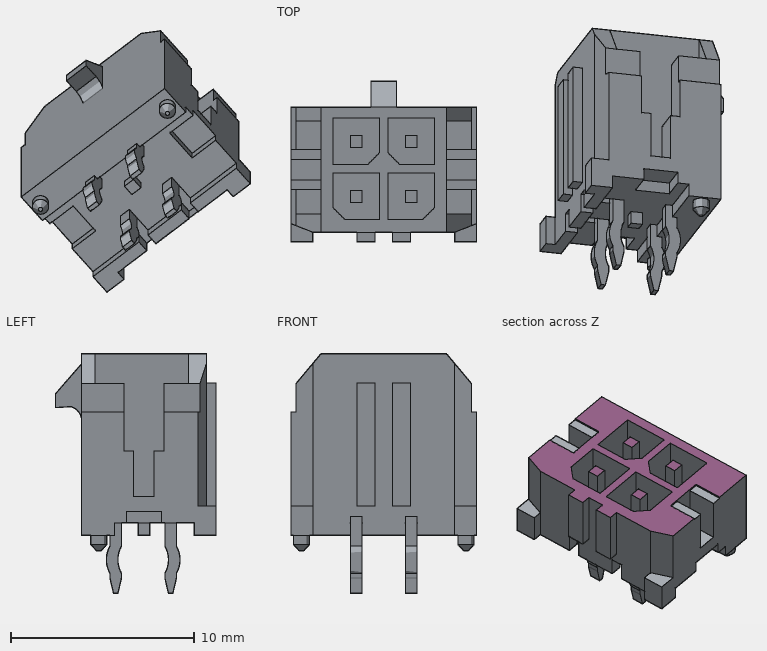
import cadquery as cq

core_side = 6.83
core_half = core_side / 2
core_height = 9.92
overall_height = 13.09
overall_width = 10.15
half_width = overall_width / 2

shoulder_setback = 0.27
shoulder_half = half_width - shoulder_setback
shoulder_z = 6.74
wing_top_z = 8.27
rear_gusset_length = 0.76
front_gusset_length = 1.0
wide_slot_width = 2.19
wide_slot_floor_z = 4.6
narrow_slot_width = 1.11
narrow_slot_floor_z = 2.11

front_projection = 0.52
front_y = -core_half - front_projection
bevel_inner_x = 3.86
bevel_depth = 0.47
foot_height = 1.61

rib_width = 1.01
rib_center_x = 0.97
rib_top_z = 8.33

latch_width = 1.4
latch_projection = 1.41
latch_top_z = 9.35
latch_tip_top_z = 7.72
latch_tip_bottom_z = 6.96
latch_root_z = 7.02
latch_root_reach = 0.56
latch_root_drop = 0.62
latch_root_radius = 0.79

pitch = 3.0
row_center_y = 0.04
contact_x = [-pitch / 2, pitch / 2]
front_row_y = row_center_y - pitch / 2
rear_row_y = row_center_y + pitch / 2
contact_width = 0.64
cavity_side = 2.54
cavity_chamfer = 0.65
cavity_floor_z = narrow_slot_floor_z
pin_tip_z = 7.2
bulge_top_z = -0.59
bulge_bottom_z = -2.07
bulge_offset = 0.2
taper_start_z = -2.33
contact_tip_z = core_height - overall_height
contact_tip_width = 0.25

recess_z = 0.68
recess_rear_y = 1.6
recess_front_y = -2.74
side_notch_width = 1.92
side_notch_top_z = 1.31
front_notch_top_z = 1.02
standoff_width = 0.64

peg_x = 4.49
peg_y = 2.46
peg_diameter = 0.89
peg_tip_diameter = 0.24
peg_straight_length = 0.5
peg_length = 0.85


def block(x_range, y_range, z_range):
    """Box spanning the given (low, high) range along each axis."""
    x0, x1 = x_range
    y0, y1 = y_range
    z0, z1 = z_range
    return cq.Workplane("XY").box(x1 - x0, y1 - y0, z1 - z0, centered=False).translate((x0, y0, z0))


def span(center, width):
    return (center - width / 2, center + width / 2)


def both_sides(shape):
    """A feature on the +X side together with its mirror image."""
    return shape.union(shape.mirror("YZ"))


def extrude_along_y(points, y_range):
    y0, y1 = y_range
    return cq.Workplane("XZ", origin=(0, y1, 0)).polyline(points).close().extrude(y1 - y0)


def wing():
    full_depth = (-core_half, core_half)
    body = extrude_along_y(
        [
            (core_half, 0),
            (half_width, 0),
            (half_width, shoulder_z),
            (shoulder_half, shoulder_z),
            (shoulder_half, wing_top_z),
            (core_half, wing_top_z),
        ],
        full_depth,
    )
    gusset_outline = [(core_half, wing_top_z), (shoulder_half, wing_top_z), (core_half, core_height)]
    rear_gusset = extrude_along_y(gusset_outline, (core_half - rear_gusset_length, core_half))
    front_gusset = extrude_along_y(gusset_outline, (-core_half, -core_half + front_gusset_length))
    body = body.union(rear_gusset).union(front_gusset)

    slot_x = (core_half, half_width)
    wide_slot = block(slot_x, span(0, wide_slot_width), (wide_slot_floor_z, core_height))
    narrow_slot = block(slot_x, span(0, narrow_slot_width), (narrow_slot_floor_z, core_height))
    bevel = (
        cq.Workplane("XY", origin=(0, 0, foot_height))
        .polyline(
            [
                (bevel_inner_x, -core_half),
                (half_width, -core_half),
                (half_width, -core_half + bevel_depth),
            ]
        )
        .close()
        .extrude(core_height - foot_height)
    )
    foot = block((bevel_inner_x, half_width), (front_y, -core_half), (0, foot_height))
    return body.cut(wide_slot).cut(narrow_slot).cut(bevel).union(foot)


def front_rib(center_x):
    return block(span(center_x, rib_width), (front_y, -core_half), (foot_height, rib_top_z))


def latch():
    tip_y = core_half + latch_projection
    root_y = core_half + latch_root_reach
    return (
        cq.Workplane("YZ")
        .moveTo(core_half, latch_top_z)
        .lineTo(tip_y, latch_tip_top_z)
        .lineTo(tip_y, latch_tip_bottom_z)
        .lineTo(root_y, latch_root_z)
        .radiusArc((core_half, latch_root_z - latch_root_drop), -latch_root_radius)
        .close()
        .extrude(latch_width / 2, both=True)
    )


def cavity(center_x, center_y, chamfered_corners):
    depth = (cavity_floor_z, core_height)
    box = block(span(center_x, cavity_side), span(center_y, cavity_side), depth)
    return box.edges("|Z").edges(chamfered_corners).chamfer(cavity_chamfer)


def pin(center_x, center_y):
    depth = (cavity_floor_z, pin_tip_z)
    return block(span(center_x, contact_width), span(center_y, contact_width), depth)


def solder_tail(center_x, center_y, outward):
    """Kinked tail whose bulge points along +Y (outward = 1) or -Y (outward = -1)."""
    half = contact_width / 2
    tip_half = contact_tip_width / 2
    bulge_z = (bulge_top_z + bulge_bottom_z) / 2
    bulge = outward * bulge_offset
    return (
        cq.Workplane("YZ", origin=(center_x, center_y, 0))
        .moveTo(-half, cavity_floor_z)
        .lineTo(-half, bulge_top_z)
        .threePointArc((-half + bulge, bulge_z), (-half, bulge_bottom_z))
        .lineTo(-half, taper_start_z)
        .lineTo(-tip_half, contact_tip_z)
        .lineTo(tip_half, contact_tip_z)
        .lineTo(half, taper_start_z)
        .lineTo(half, bulge_bottom_z)
        .threePointArc((half + bulge, bulge_z), (half, bulge_top_z))
        .lineTo(half, cavity_floor_z)
        .close()
        .extrude(half, both=True)
    )


def underside_cuts():
    recess = block((-half_width, half_width), (recess_front_y, recess_rear_y), (0, recess_z))
    side_notch = block((core_half, half_width), span(0, side_notch_width), (0, side_notch_top_z))
    cuts = recess.union(both_sides(side_notch))
    for x in contact_x:
        notch_y = (-core_half, front_row_y)
        cuts = cuts.union(block(span(x, contact_width), notch_y, (0, front_notch_top_z)))
    return cuts


def locating_peg():
    radius = peg_diameter / 2
    return (
        cq.Workplane("XZ")
        .polyline(
            [
                (0, 0),
                (radius, 0),
                (radius, -peg_straight_length),
                (peg_tip_diameter / 2, -peg_length),
                (0, -peg_length),
            ]
        )
        .close()
        .revolve(360, (0, 0), (0, 1))
        .translate((peg_x, peg_y, 0))
    )


result = block((-core_half, core_half), (-core_half, core_half), (0, core_height))
result = result.union(both_sides(wing()))
result = result.union(both_sides(front_rib(rib_center_x)))
result = result.union(latch())
result = result.cut(underside_cuts())

result = result.cut(both_sides(cavity(pitch / 2, rear_row_y, "<X and <Y")))
result = result.cut(both_sides(cavity(pitch / 2, front_row_y, ">X and <Y")))

for x in contact_x:
    for y, outward in ((front_row_y, -1), (rear_row_y, 1)):
        result = result.union(pin(x, y))
        result = result.union(solder_tail(x, y, outward))

result = result.union(block(span(0, standoff_width), span(0, standoff_width), (0, recess_z)))
result = result.union(both_sides(locating_peg()))